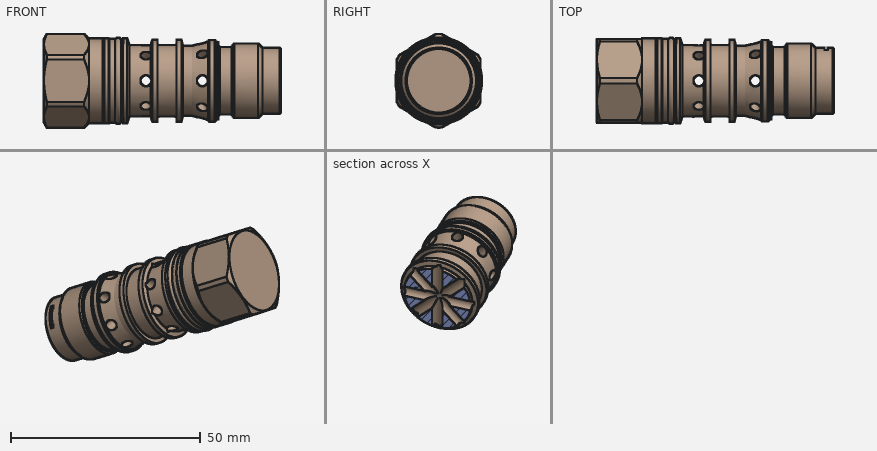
import cadquery as cq
import math


total_length = 62.71
corner_r = 12.42

across_flats = 22.2
head_end_x = 11.95
head_face_r = 10.93
head_front_chamfer = 0.85
head_back_chamfer = 1.25

shoulder_r = 11.28
relief_x = 15.8
relief_width = 0.55
relief_flank = 0.15
relief_depth = 0.22
step_x = 17.2
step_length = 0.25
seat_r = 11.15
seat_end_x = 18.9

o_ring_section_r = 0.8
o_ring_r = 11.48
o_ring_x = 19.69
gland_r = 9.92

collar_x = 21.0
collar_chamfer_x = 22.08
first_band_x = 22.68

band_r = 9.5
ring_r = 10.88
ring_length = 1.35
ring_taper = 0.45
first_ring_x = 28.75
second_ring_x = 35.06
rim_length = 0.33
rim_height = 0.07

neck_r = 9.3
flare_x = 39.25
flare_end_x = 43.45
flare_end_r = 10.4
flange_r = 10.84
flange_x = 43.8
flange_end_x = 45.2
lip_x = 45.75
lip_end_x = 46.25
lip_r = 10.25

waist_r = 8.97
waist_x = 46.6
waist_end_x = 49.6
waist_root_length = 0.35
waist_root_height = 0.23

nose_r = 9.9
nose_x = 50.42
nose_end_x = 56.72
nose_chamfer_start_r = 9.4
tip_r = 8.78
tip_x = 57.85
tip_chamfer = 0.36

port_diameter = 2.85
port_count = 8
first_ports_x = 27.05
second_ports_x = 41.97

notch_x = 60.65
notch_width = 0.8
notch_depth = 0.6


def turned(points):
    """Solid of revolution about X; points are (x, radius) from one end to the other."""
    outline = [(points[0][0], 0)] + points + [(points[-1][0], 0)]
    return cq.Workplane("XY").polyline(outline).close().revolve(360, (0, 0, 0), (1, 0, 0))


def hex_head():
    """Hexagon with corners up and down, trimmed to a turned, chamfered envelope."""
    circumscribed_diameter = across_flats / math.cos(math.pi / 6)
    hexagon = (
        cq.Workplane("YZ")
        .polygon(6, circumscribed_diameter)
        .extrude(head_end_x)
        .rotate((0, 0, 0), (1, 0, 0), 90)
    )
    envelope = turned([
        (0, head_face_r),
        (head_front_chamfer, corner_r),
        (head_end_x - head_back_chamfer, corner_r),
        (head_end_x, corner_r - head_back_chamfer),
    ])
    return hexagon.intersect(envelope)


def shoulder():
    """Shoulder with a narrow relief groove, O-ring gland and collar."""
    relief_start = relief_x - relief_width / 2
    relief_end = relief_x + relief_width / 2
    relief_r = shoulder_r - relief_depth
    return turned([
        (head_end_x, shoulder_r),
        (relief_start, shoulder_r),
        (relief_start + relief_flank, relief_r),
        (relief_end - relief_flank, relief_r),
        (relief_end, shoulder_r),
        (step_x, shoulder_r),
        (step_x + step_length, seat_r),
        (seat_end_x, seat_r),
        (seat_end_x, gland_r),
        (collar_x, gland_r),
        (collar_x, shoulder_r),
        (collar_chamfer_x, shoulder_r),
        (first_band_x, band_r),
    ])


def o_ring():
    """Torus seated in the gland."""
    center_r = o_ring_r - o_ring_section_r
    return (
        cq.Workplane("XY")
        .center(o_ring_x, center_r)
        .circle(o_ring_section_r)
        .revolve(360, (0, -center_r, 0), (1, -center_r, 0))
    )


def sleeve():
    """Two port bands, the seal rings, the flare and its flange."""
    first_ring_end = first_ring_x + ring_length
    second_ring_end = second_ring_x + ring_length
    return turned([
        (first_band_x, band_r),
        (first_ring_x - ring_taper, band_r),
        (first_ring_x, ring_r),
        (first_ring_end, ring_r),
        (first_ring_end, band_r + rim_height),
        (first_ring_end + rim_length, band_r),
        (second_ring_x - rim_length, band_r),
        (second_ring_x, band_r + rim_height),
        (second_ring_x, ring_r),
        (second_ring_end, ring_r),
        (second_ring_end + ring_taper, neck_r),
        (flare_x, neck_r),
        (flare_end_x, flare_end_r),
        (flange_x, flange_r),
        (flange_end_x, flange_r),
        (lip_x, lip_r),
        (lip_end_x, lip_r),
        (lip_end_x, waist_r + waist_root_height),
        (waist_x, waist_r),
    ])


def nose():
    """Waist, chamfered nose and stepped tip."""
    chamfer_start_x = waist_end_x + waist_root_length
    return turned([
        (waist_x, waist_r),
        (waist_end_x, waist_r),
        (chamfer_start_x, waist_r + waist_root_height),
        (chamfer_start_x, nose_chamfer_start_r),
        (nose_x, nose_r),
        (nose_end_x, nose_r),
        (tip_x, tip_r),
        (total_length - tip_chamfer, tip_r),
        (total_length, tip_r - tip_chamfer),
    ])


def ports(x):
    """Radial drillings through the axis; each one opens on two opposite sides."""
    drill = cq.Workplane("XY").circle(port_diameter / 2).extrude(corner_r, both=True)
    drill = drill.translate((x, 0, 0))
    drills = drill
    for i in range(1, port_count // 2):
        drills = drills.union(drill.rotate((0, 0, 0), (1, 0, 0), i * 360 / port_count))
    return drills


def tip_notch():
    """Straight cutter along Z whose floor lies below the +Y side of the tip."""
    cutter_height = 2 * tip_r
    return (
        cq.Workplane("XY")
        .box(notch_width, notch_depth, cutter_height, centered=(True, False, True))
        .translate((notch_x, tip_r - notch_depth, 0))
    )


result = hex_head().union(shoulder()).union(o_ring()).union(sleeve()).union(nose())
for ports_x in (first_ports_x, second_ports_x):
    result = result.cut(ports(ports_x))
result = result.cut(tip_notch())